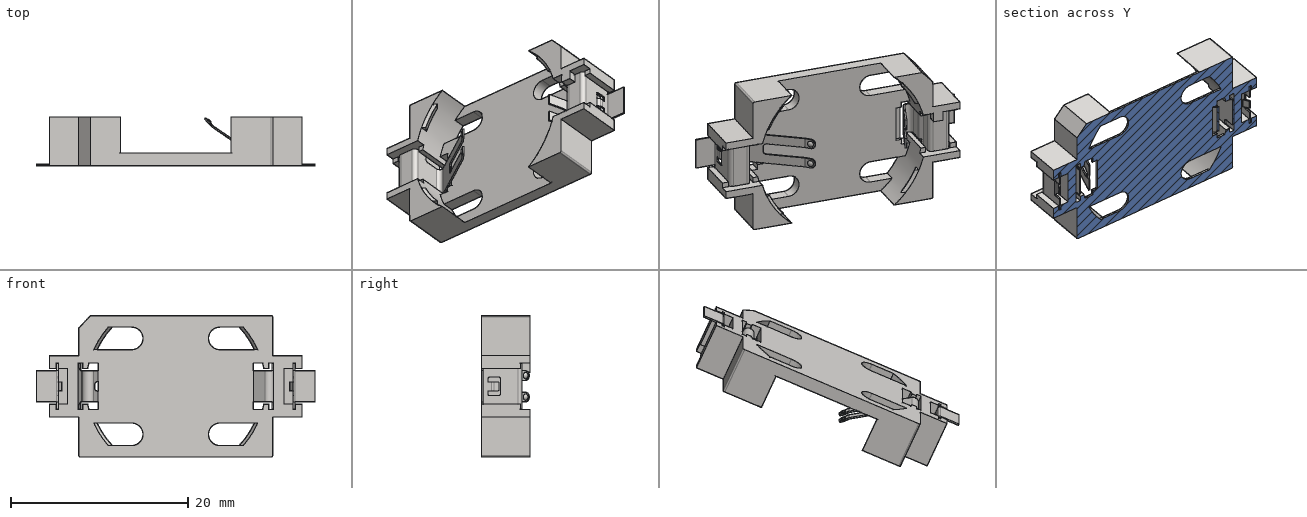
import cadquery as cq
import math

total_length = 31.5
housing_depth = 5.5
body_length = 21.92
body_height = 16.0
arm_span = 28.55
arm_height = 6.95
key_chamfer_x = 1.32
key_chamfer_z = 1.42
corner_radius = 0.2
floor_thickness = 1.45

cavity_radius = 10.15
lip_reach = 0.35
lip_start_y = 4.6
lip_peak_y = 5.23

slot_bottom_z = 4.15
slot_top_z = 6.68
slot_inner_end = 3.72
slot_radius = (slot_top_z - slot_bottom_z) / 2

gap_half = 2.02
groove_half = 2.6
wall_inner = 11.05
wall_outer = 12.22
wall_top = 4.4
inner_groove_end = 10.52
window_inner = 8.75
relief_inner = 8.13
relief_y = 1.07
outer_groove_start = 13.25
pouch_depth = 3.15
outer_groove_end = 13.5
post_bottom_z = 1.58

sheet = 0.2
half_sheet = sheet / 2
foot_half = 1.75
strap_half = 2.58
riser_mid = outer_groove_start + half_sheet
strap_mid = wall_top + half_sheet
leg_mid = wall_inner - half_sheet
foot_bend = 0.13
strap_bend = 0.38
foot_shoulder_y = sheet
leg_shoulder_y = 2.7
shoulder_radius = 0.3
contact_shoulder_x = 10.7
slit_corner = 0.3
contact_low_y = 0.38

barb_root_y = 1.25
barb_tip_y = 2.02
barb_lean = 0.45
barb_bend = 0.47
barb_half = 0.5
barb_window_bottom = 0.75
barb_window_top = 2.15
barb_window_half = 1.05
barb_corner = 0.15

spring_bend = 0.55
spring_kink = (4.15, 4.45)
spring_tip = (3.3, 5.35)
spring_kink_bend = 0.47
spring_slope = math.radians(34.3)
spring_slit_start = 8.2
spring_slit_half = 0.65
dimple_from_tip = 0.57
dimple_radius = 0.5
dimple_height = 0.15

hook_leg_mid = 10.52
hook_jog_y = 2.9
hook_jog_bend = 0.13
hook_bend = 0.6
hook_slope = math.radians(71.6)
hook_top_y = 4.25
hook_slit_start = 9.15
hook_slit_half = 0.55


def block(x0, x1, y0, y1, z0, z1):
    """Box between two opposite corners."""
    return cq.Workplane("XY").box(x1 - x0, y1 - y0, z1 - z0, centered=False).translate((x0, y0, z0))


def symmetric_block(x0, x1, y0, y1, half_z):
    """Box centred on the plane Z = 0."""
    return block(x0, x1, y0, y1, -half_z, half_z)


def both_ends(shape):
    """The shape together with its mirror image in the YZ plane."""
    return shape.union(shape.mirror("YZ"))


def bent_sheet(points, radii, half_height):
    """Sheet that follows a line of points in the XY plane, with a bend at each inner point."""
    directions = []
    for start, end in zip(points, points[1:]):
        length = math.dist(start, end)
        directions.append(((end[0] - start[0]) / length, (end[1] - start[1]) / length))

    def side_of(point, direction, side):
        return (point[0] - side * half_sheet * direction[1], point[1] + side * half_sheet * direction[0])

    def bends_on(side):
        """Start, middle and end of every bend, on one face of the sheet."""
        bends = []
        for corner, before, after, radius in zip(points[1:], directions, directions[1:], radii):
            cross = before[0] * after[1] - before[1] * after[0]
            turn = math.atan2(cross, before[0] * after[0] + before[1] * after[1])
            setback = radius * math.tan(abs(turn) / 2)
            enter = (corner[0] - setback * before[0], corner[1] - setback * before[1])
            leave = (corner[0] + setback * after[0], corner[1] + setback * after[1])
            inward = math.atan2(after[1] - before[1], after[0] - before[0])
            to_centre = radius / math.cos(turn / 2)
            face_radius = radius - side * math.copysign(half_sheet, turn)
            reach = to_centre - face_radius
            middle = (corner[0] + reach * math.cos(inward), corner[1] + reach * math.sin(inward))
            bends.append((side_of(enter, before, side), middle, side_of(leave, after, side)))
        return bends

    outline = cq.Workplane("XY").moveTo(*side_of(points[0], directions[0], 1))
    for enter, middle, leave in bends_on(1):
        outline = outline.lineTo(*enter).threePointArc(middle, leave)
    outline = outline.lineTo(*side_of(points[-1], directions[-1], 1))
    outline = outline.lineTo(*side_of(points[-1], directions[-1], -1))
    for enter, middle, leave in reversed(bends_on(-1)):
        outline = outline.lineTo(*leave).threePointArc(middle, enter)
    outline = outline.lineTo(*side_of(points[0], directions[0], -1)).close()
    return outline.extrude(half_height, both=True)


def housing_blank():
    half_length = body_length / 2
    half_height = body_height / 2
    body = symmetric_block(-half_length, half_length, 0, housing_depth, half_height)
    body = body.edges("|Y").edges(">X or <Z").fillet(corner_radius)
    key_corner = (
        cq.Workplane("XZ")
        .moveTo(-half_length, half_height)
        .lineTo(-half_length + key_chamfer_x, half_height)
        .lineTo(-half_length, half_height - key_chamfer_z)
        .close()
        .extrude(-housing_depth)
    )
    arms = symmetric_block(-arm_span / 2, arm_span / 2, 0, housing_depth, arm_height / 2)
    return body.cut(key_corner).union(arms)


def pocket_cylinder(start_y):
    return cq.Workplane("XZ", origin=(0, start_y, 0)).circle(cavity_radius).extrude(start_y - housing_depth)


def floor_slots():
    """Four slots with a round inner end and an outer end on the pocket wall."""
    middle_z = (slot_bottom_z + slot_top_z) / 2
    centre_x = slot_inner_end + slot_radius
    straight = block(centre_x, cavity_radius, 0, floor_thickness, slot_bottom_z, slot_top_z)
    round_end = (
        cq.Workplane("XZ").center(centre_x, middle_z).circle(slot_radius).extrude(-floor_thickness)
    )
    slot = straight.union(round_end).intersect(pocket_cylinder(0))
    slots = both_ends(slot)
    return slots.union(slots.mirror("XY"))


def retaining_lips():
    """Four ridges on the pocket wall, one behind each floor slot."""
    ring = (
        cq.Workplane("XY")
        .moveTo(cavity_radius + lip_reach, lip_start_y)
        .lineTo(cavity_radius, lip_start_y)
        .lineTo(cavity_radius - lip_reach, lip_peak_y)
        .lineTo(cavity_radius, housing_depth)
        .lineTo(cavity_radius + lip_reach, housing_depth)
        .close()
        .revolve(360, (0, 0, 0), (0, 1, 0))
    )
    zone = block(0, body_length / 2, 0, housing_depth, slot_bottom_z, slot_top_z)
    lips = both_ends(ring.intersect(zone))
    return lips.union(lips.mirror("XY"))


def strap_seat():
    """Top of the right end wall, rounded to fit the two bends of the strap."""
    seat = symmetric_block(wall_inner, outer_groove_start, pouch_depth, wall_top, groove_half)
    return seat.edges("|Z and >Y").fillet(strap_bend - half_sheet)


def terminal_openings():
    """Gap, grooves, window and strap channel for the terminal at the right end."""
    arm_end = arm_span / 2
    arm_gap = symmetric_block(outer_groove_start, arm_end, 0, housing_depth, gap_half)
    pouch = symmetric_block(wall_outer, outer_groove_start, 0, pouch_depth, gap_half)
    outer_groove = symmetric_block(outer_groove_start, outer_groove_end, 0, housing_depth, groove_half)
    inner_groove = symmetric_block(inner_groove_end, wall_inner, 0, housing_depth, groove_half)
    contact_gap = symmetric_block(window_inner, wall_inner, 0, housing_depth, gap_half)
    window = symmetric_block(window_inner, cavity_radius, 0, floor_thickness, groove_half)
    window = window.intersect(pocket_cylinder(0))
    relief = symmetric_block(relief_inner, window_inner, relief_y, floor_thickness, gap_half)
    channel = symmetric_block(window_inner, arm_end, wall_top, housing_depth, groove_half)
    openings = arm_gap
    for opening in (pouch, outer_groove, inner_groove, contact_gap, window, relief, channel):
        openings = openings.union(opening)
    seat_space = symmetric_block(wall_inner, outer_groove_start, pouch_depth, wall_top, groove_half)
    return openings.union(seat_space).cut(strap_seat())


def make_housing():
    housing = housing_blank().cut(pocket_cylinder(floor_thickness)).union(retaining_lips())
    housing = housing.cut(floor_slots()).cut(both_ends(terminal_openings()))
    post = block(-wall_outer, -wall_inner, wall_top + sheet, housing_depth, post_bottom_z, groove_half)
    return housing.union(post)


def trim_sides(terminal, x0, x1, y1, corner=0.0):
    """Narrow the sheet to the foot height below y1; a corner radius rounds the shoulders."""
    for side in (1, -1):
        low, high = sorted((side * foot_half, side * 2 * strap_half))
        trim = block(x0, x1, 0, y1, low, high)
        if corner > 0:
            trim = trim.edges("|X").edges(">Y").edges("<Z" if side > 0 else ">Z").fillet(corner)
        terminal = terminal.cut(trim)
    return terminal


def add_barb(terminal):
    """Window in the riser with a tongue leaning towards the end wall."""
    inner_face = riser_mid - half_sheet
    outer_face = riser_mid + half_sheet
    window = symmetric_block(inner_face, outer_face, barb_window_bottom, barb_window_top, barb_window_half)
    window = window.edges("|X").fillet(barb_corner)
    tongue_points = [
        (riser_mid, barb_window_bottom),
        (riser_mid, barb_root_y),
        (riser_mid - barb_lean, barb_tip_y),
    ]
    tongue = bent_sheet(tongue_points, [barb_bend], barb_half)
    tongue_face = symmetric_block(wall_outer, outer_face, barb_window_bottom, barb_tip_y, barb_half)
    tongue = tongue.intersect(tongue_face.edges("|X and >Y").fillet(barb_corner))
    return terminal.cut(window).union(tongue)


def make_terminal(contact_points, contact_bends, slit_start, slit_half):
    """Terminal at the right end: foot, riser, strap over the end wall, then the given contact."""
    points = [
        (total_length / 2, half_sheet),
        (riser_mid, half_sheet),
        (riser_mid, strap_mid),
        (leg_mid, strap_mid),
    ]
    bends = [foot_bend, strap_bend, strap_bend]
    terminal = bent_sheet(points + contact_points, bends + contact_bends, strap_half)
    terminal = trim_sides(terminal, riser_mid - sheet, total_length / 2, foot_shoulder_y)
    terminal = trim_sides(terminal, contact_shoulder_x, wall_inner, leg_shoulder_y, shoulder_radius)
    terminal = trim_sides(terminal, 0, contact_shoulder_x, 2 * housing_depth)
    slit = symmetric_block(0, slit_start, 0, housing_depth, slit_half)
    slit = slit.edges("|Y and >X").fillet(slit_corner)
    return add_barb(terminal.cut(slit))


def dome(plane, radius, base, top):
    """Cap of a ball of the given radius, round the local Y axis, from the base level to the top level."""
    def half_width(level):
        return math.sqrt(radius**2 - (level - top + radius) ** 2)

    middle = (base + top) / 2
    return (
        cq.Workplane(plane)
        .moveTo(0, base)
        .lineTo(half_width(base), base)
        .threePointArc((half_width(middle), middle), (0, top))
        .close()
        .revolve(360, (0, 0, 0), (0, 1, 0))
    )


def finish_fingers(terminal):
    """Round the two finger tips and press a dimple into each."""
    run_x = spring_tip[0] - spring_kink[0]
    run_y = spring_tip[1] - spring_kink[1]
    length = math.hypot(run_x, run_y)
    along = cq.Vector(run_x / length, run_y / length, 0)
    outward = cq.Vector(run_y / length, -run_x / length, 0)
    tip = cq.Vector(spring_tip[0], spring_tip[1], 0)
    radius = (foot_half - spring_slit_half) / 2
    finger_z = (foot_half + spring_slit_half) / 2
    for side in (1, -1):
        centre_z = cq.Vector(0, 0, side * finger_z)
        tip_plane = cq.Plane(tip - along * radius + centre_z, xDir=along, normal=outward)
        corners = (
            cq.Workplane(tip_plane)
            .center(radius, 0)
            .rect(2 * radius, 2 * radius)
            .extrude(sheet, both=True)
            .cut(cq.Workplane(tip_plane).circle(radius).extrude(sheet, both=True))
        )
        dimple_centre = tip - along * dimple_from_tip + centre_z
        dimple_plane = cq.Plane(dimple_centre, xDir=along, normal=cq.Vector(0, 0, -1))
        bump = dome(dimple_plane, dimple_radius, 0, half_sheet + dimple_height)
        hollow = dome(dimple_plane, dimple_radius - sheet, -half_sheet, dimple_height - half_sheet)
        terminal = terminal.cut(corners).union(bump).cut(hollow)
    return terminal


def make_spring_terminal():
    rise = (leg_mid - spring_kink[0]) * math.tan(spring_slope)
    points = [(leg_mid, spring_kink[1] - rise), spring_kink, spring_tip]
    terminal = make_terminal(points, [spring_bend, spring_kink_bend], spring_slit_start, spring_slit_half)
    return finish_fingers(terminal)


def make_hook_terminal():
    jog = leg_mid - hook_leg_mid
    corner_angle = (math.pi / 2 - hook_slope) / 2
    corner_y = contact_low_y + hook_bend - hook_bend / math.tan(corner_angle)
    end_x = hook_leg_mid - (hook_top_y - corner_y) / math.tan(hook_slope)
    points = [
        (leg_mid, hook_jog_y),
        (hook_leg_mid, hook_jog_y - jog),
        (hook_leg_mid, corner_y),
        (end_x, hook_top_y),
    ]
    bends = [hook_jog_bend, hook_jog_bend, hook_bend]
    return make_terminal(points, bends, hook_slit_start, hook_slit_half).mirror("YZ")


housing = make_housing()
spring_terminal = make_spring_terminal()
hook_terminal = make_hook_terminal()

result = cq.Compound.makeCompound(
    [
        housing.solids().val(),
        spring_terminal.solids().val(),
        hook_terminal.solids().val(),
    ]
)